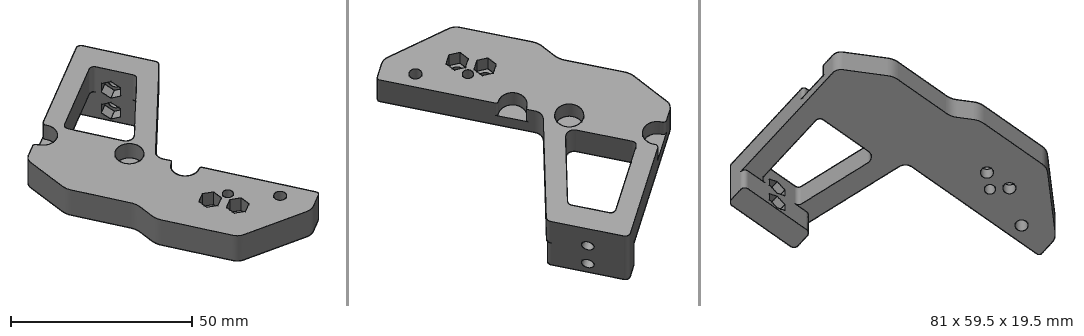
import cadquery as cq
import math

length = 81.0
width = 59.5
height = 19.5
plate_thickness = 9.7

arm_top_length = 23.5
arm_slope = 0.279
rear_edge_y = 23.25
step_y = 4.0
left_slope_end_x = 13.8
step_start_x = 34.1
step_angle = math.radians(30)
nose_end_x = 64.9

small_radius = 1.45
tail_radius = 1.0
medium_radius = 3.0
nose_radius = 4.0
large_radius = 6.0

flange_length = 23.6
flange_thickness = 7.0
window_left = 5.9
window_bottom = 26.9
window_top_right = 19.2
window_sharp_corner_radius = 2.35

pocket_diameter = 8.0
pocket_depth = 5.5
pocket_y = 22.4
side_pocket_x = 1.45
middle_pocket_x = 26.4
rear_pocket_x = 42.5
side_mouth_radius = 1.0
rear_mouth_radius = 0.65
rear_pocket_setback = rear_edge_y - pocket_y

screw_diameter = 3.6
pin_diameter = 3.1
nut_flats = 5.5
nut_depth = 4.9
flange_nut_depth = 3.2
nut_corners = nut_flats / math.cos(math.pi / 6)
screw_spacing = 7.9
screw_pair_x = 57.0
screw_pair_y = 11.7
pin_y = 15.3
tail_hole = (71.0, 18.8)
flange_hole_x = 11.75
flange_hole_zs = (-7.6, -15.6)


def rounded_prism(corners, depth):
    """Extrude (x, y, radius) corners down from Z = 0 and round the upright edges."""
    body = cq.Workplane("XY").polyline([(x, y) for x, y, _ in corners]).close().extrude(-depth)
    for x, y, radius in corners:
        nearest = cq.selectors.NearestToPointSelector((x, y, -depth / 2))
        body = body.edges("|Z").edges(nearest).fillet(radius)
    return body


def make_plate():
    slope = math.tan(step_angle)
    return rounded_prism([
        (0, width, small_radius),
        (arm_top_length, width, small_radius),
        (arm_top_length + arm_slope * (width - rear_edge_y), rear_edge_y, medium_radius),
        (length, rear_edge_y, tail_radius),
        (length, length - nose_end_x, nose_radius),
        (nose_end_x, 0, nose_radius),
        (step_start_x + step_y / slope, 0, large_radius),
        (step_start_x, step_y, large_radius),
        (left_slope_end_x, step_y, large_radius),
        (0, step_y + left_slope_end_x * slope, medium_radius),
    ], plate_thickness)


def make_flange():
    front_y = width - flange_thickness
    return rounded_prism([
        (0, width, small_radius),
        (flange_length, width, small_radius),
        (flange_length, front_y, small_radius),
        (0, front_y, small_radius),
    ], height - plate_thickness).translate((0, 0, -plate_thickness))


def make_window():
    top_y = width - flange_thickness
    bottom_right = window_top_right + arm_slope * (top_y - window_bottom)
    return rounded_prism([
        (window_left, top_y, small_radius),
        (window_top_right, top_y, small_radius),
        (bottom_right, window_bottom, window_sharp_corner_radius),
        (window_left, window_bottom, small_radius),
    ], plate_thickness)


def vertical_hole(x, y, diameter, depth):
    return cq.Workplane("XY").center(x, y).circle(diameter / 2).extrude(-depth)


def open_pocket(setback, flare_radius):
    """Round pocket centred at X = setback, opening at X = 0 with a flared mouth, about Y = 0."""
    radius = pocket_diameter / 2
    mouth_half_width = radius + flare_radius
    flare_middle = flare_radius * (1 - math.sqrt(0.5))
    return (
        cq.Workplane("XY")
        .moveTo(0, mouth_half_width)
        .threePointArc((flare_middle, radius + flare_middle), (flare_radius, radius))
        .lineTo(setback, radius)
        .threePointArc((setback + radius, 0), (setback, -radius))
        .lineTo(flare_radius, -radius)
        .threePointArc((flare_middle, -radius - flare_middle), (0, -mouth_half_width))
        .close()
        .extrude(-pocket_depth)
    )


def make_nut_recess(x, y):
    return (
        cq.Workplane("XY")
        .polygon(6, nut_corners)
        .extrude(-nut_depth)
        .rotate((0, 0, 0), (0, 0, 1), 30)
        .translate((x, y, 0))
    )


def make_flange_hole(z):
    """Screw hole along Y with a nut recess in the flange's inner face."""
    inner_face = cq.Workplane("XZ", origin=(flange_hole_x, width - flange_thickness, z))
    recess = (
        inner_face.transformed(rotate=(0, 0, 30))
        .polygon(6, nut_corners)
        .extrude(-flange_nut_depth)
    )
    return recess.union(inner_face.circle(screw_diameter / 2).extrude(-flange_thickness))


result = make_plate().union(make_flange()).cut(make_window())

side_pocket = open_pocket(side_pocket_x, side_mouth_radius).translate((0, pocket_y, 0))
rear_pocket = (
    open_pocket(rear_pocket_setback, rear_mouth_radius)
    .rotate((0, 0, 0), (0, 0, 1), -90)
    .translate((rear_pocket_x, rear_edge_y, 0))
)
middle_pocket = vertical_hole(middle_pocket_x, pocket_y, pocket_diameter, pocket_depth)
result = result.cut(side_pocket).cut(rear_pocket).cut(middle_pocket)

for side in (-1, 1):
    screw_x = screw_pair_x + side * screw_spacing / 2
    result = result.cut(vertical_hole(screw_x, screw_pair_y, screw_diameter, plate_thickness))
    result = result.cut(make_nut_recess(screw_x, screw_pair_y))
result = result.cut(vertical_hole(screw_pair_x, pin_y, pin_diameter, plate_thickness))
result = result.cut(vertical_hole(*tail_hole, screw_diameter, plate_thickness))

for hole_z in flange_hole_zs:
    result = result.cut(make_flange_hole(hole_z))